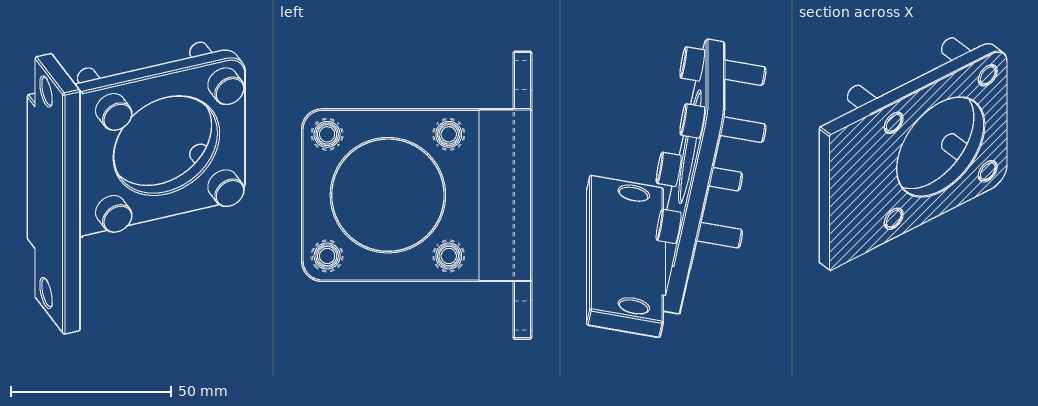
import cadquery as cq

total_width = 44.2
total_depth = 72
total_height = 90
edge_break = 0.5

plate_left = 14.1
plate_thickness = 5.9
plate_right = plate_left + plate_thickness
plate_height = 54
corner_radius = 6.5

plain_depth = 16.6
plain_setback = 0.2
plain_left = plate_left + plain_setback
plain_edge_break = edge_break - plain_setback

foot_left = plate_right + edge_break
foot_thickness = 6.0
foot_hole_diameter = 9
foot_hole_rim_diameter = 10.0
foot_hole_x = 30.15
foot_hole_end_distance = 7.5
foot_hole_z = total_height / 2 - foot_hole_end_distance

bore_diameter = 35.0
bore_y = total_depth - plate_height / 2
screw_spacing = 38.0
screw_hole_diameter = 7.0
screw_diameter = 6.0
screw_tip_chamfer = 0.6
screw_neck_fillet = 0.3
screw_head_diameter = 10.0
screw_head_height = 6.0
screw_head_chamfer = 0.4


def block(left, right, front, back, height):
    """Box over the given X and Y ranges, centred on Z = 0."""
    box = cq.Workplane("XY").box(right - left, back - front, height, centered=(False, False, True))
    return box.translate((left, front, 0))


def hole_cutter(diameter, rim_diameter, length):
    """Cutter for a through hole along +X from the origin, with 45 degree chamfers at both rims."""
    radius = diameter / 2
    rim_radius = rim_diameter / 2
    flare = rim_radius - radius
    half_section = [
        (0, 0),
        (0, rim_radius),
        (flare, radius),
        (length - flare, radius),
        (length, rim_radius),
        (length, 0),
    ]
    return cq.Workplane("XY").polyline(half_section).close().revolve(360, (0, 0), (1, 0))


def plate_hole(y, z, diameter):
    cutter = hole_cutter(diameter, diameter + 2 * edge_break, plate_thickness)
    return cutter.translate((plate_left, y, z))


def foot_hole(z):
    cutter = hole_cutter(foot_hole_diameter, foot_hole_rim_diameter, foot_thickness)
    return cutter.rotate((0, 0, 0), (0, 0, 1), 90).translate((foot_hole_x, 0, z))


def screw(y, z):
    """Screw along X from its tip at X = 0, with its head seated on the right face of the plate."""
    shank_radius = screw_diameter / 2
    head_radius = screw_head_diameter / 2
    head_end = plate_right + screw_head_height
    fillet_start = plate_right - screw_neck_fillet
    fillet_end_radius = shank_radius + screw_neck_fillet
    half_section = (
        cq.Workplane("XY")
        .lineTo(0, shank_radius - screw_tip_chamfer)
        .lineTo(screw_tip_chamfer, shank_radius)
        .lineTo(fillet_start, shank_radius)
        .tangentArcPoint((plate_right, fillet_end_radius), relative=False)
        .lineTo(plate_right, head_radius)
        .lineTo(head_end - screw_head_chamfer, head_radius)
        .lineTo(head_end, head_radius - screw_head_chamfer)
        .lineTo(head_end, 0)
        .close()
    )
    return half_section.revolve(360, (0, 0), (1, 0)).translate((0, y, z))


rear_plate = block(plate_left, plate_right, plain_depth, total_depth, plate_height)
rear_plate = rear_plate.edges("|X and >Y").fillet(corner_radius)
rear_plate = rear_plate.faces("<X or >X").edges("not(<Y)").chamfer(edge_break)

plain_plate = block(plain_left, plate_right, 0, plain_depth, plate_height)
plain_plate = plain_plate.edges("|Y and <X").chamfer(plain_edge_break)
web = block(plate_right, foot_left + edge_break, 0, foot_thickness, plate_height)

foot = block(foot_left, total_width, 0, foot_thickness, total_height)
foot = foot.edges("not(<Y)").chamfer(edge_break)
bracket = foot.union(web).union(plain_plate).faces("<Y").chamfer(edge_break)
bracket = bracket.union(rear_plate)

for side in (-1, 1):
    bracket = bracket.cut(foot_hole(side * foot_hole_z))
bracket = bracket.cut(plate_hole(bore_y, 0, bore_diameter))

for side_y in (-1, 1):
    for side_z in (-1, 1):
        screw_y = bore_y + side_y * screw_spacing / 2
        screw_z = side_z * screw_spacing / 2
        bracket = bracket.cut(plate_hole(screw_y, screw_z, screw_hole_diameter))
        bracket = bracket.union(screw(screw_y, screw_z))

result = bracket